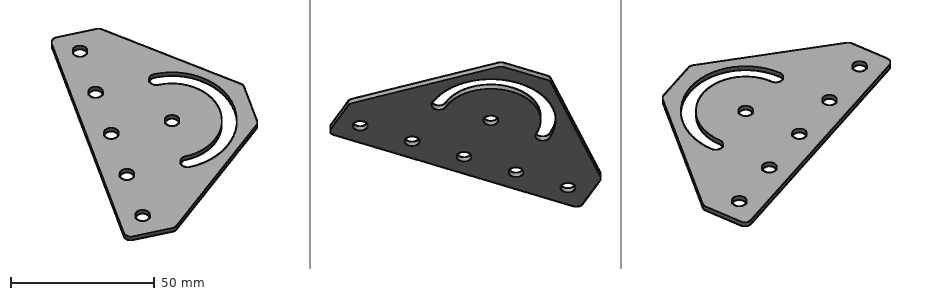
import cadquery as cq

thickness = 2.0
corner_radius = 2.5
edge_margin = 8.5

hole_diameter = 5.2
row_hole_count = 5
row_pitch = 20.0
pivot_height = 22.0

slot_radius = row_pitch
slot_width = hole_diameter

pivot_to_top = 28.5
top_edge_width = 18.7
side_edge_height = 17.9
half_row = row_pitch * (row_hole_count - 1) / 2
half_width = half_row + edge_margin
bottom_y = -edge_margin
top_y = pivot_height + pivot_to_top
shoulder_y = bottom_y + side_edge_height


def make_plate():
    """Six-sided plate with every upright corner rounded."""
    right_side = [
        (half_width, bottom_y),
        (half_width, shoulder_y),
        (top_edge_width / 2, top_y),
    ]
    left_side = [(-x, y) for x, y in reversed(right_side)]
    plate = cq.Workplane("XY").polyline(right_side + left_side).close().extrude(thickness)
    return plate.edges("|Z").fillet(corner_radius)


def make_holes():
    """Cutters for the row of holes and the pivot hole."""
    centers = [(i * row_pitch - half_row, 0) for i in range(row_hole_count)]
    centers.append((0, pivot_height))
    return cq.Workplane("XY").pushPoints(centers).circle(hole_diameter / 2).extrude(thickness)


def make_arc_slot():
    """Cutter for the half-circle slot with round ends, above the pivot hole."""
    outer_radius = slot_radius + slot_width / 2
    inner_radius = slot_radius - slot_width / 2
    end_depth = -slot_width / 2
    return (
        cq.Workplane("XY", origin=(0, pivot_height, 0))
        .moveTo(-outer_radius, 0)
        .threePointArc((0, outer_radius), (outer_radius, 0))
        .threePointArc((slot_radius, end_depth), (inner_radius, 0))
        .threePointArc((0, inner_radius), (-inner_radius, 0))
        .threePointArc((-slot_radius, end_depth), (-outer_radius, 0))
        .close()
        .extrude(thickness)
    )


result = make_plate().cut(make_holes()).cut(make_arc_slot())